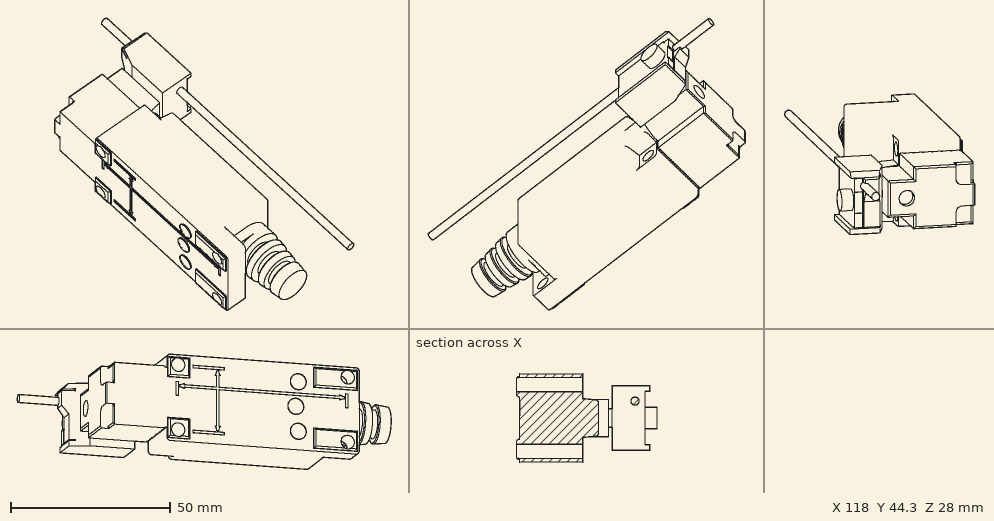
import cadquery as cq


OVERLAP = 0.6

BODY_LENGTH = 54.5
FOOT_LENGTH = 63.4
FOOT_DEPTH = 7.2
BODY_DEPTH = 24.9
BODY_HEIGHT = 28.0
BODY_FILLET = 1.2
REAR_FILLET = 1.1
NOTCH_START = 20.0
NOTCH_LENGTH_LOW = 7.2
NOTCH_LENGTH_HIGH = 8.0
TONGUE_ROOT_Z = 6.1
TONGUE_REAR_Z = 5.7

PAD_HEIGHT = 1.0
PAD_CHAMFER = 0.6
LEFT_PAD = (0.2, 7.4)
RIGHT_PAD = (48.3, 62.7)
HOLE_X = (3.4, 59.2)
HOLE_Z = 10.5
HOLE_DIAMETER = 4.4
PAD_INNER_Z = HOLE_Z - 3.9
PAD_OUTER_Z = HOLE_Z + 2.6
PLUG_DIAMETER = 5.2
PLUG_HEIGHT = 0.4
PLUG_CENTRES = ((43.2, 8.0), (42.4, 0), (43.2, -8.0))
MARK_DEPTH = 0.18
MARK_WIDTH = 0.8
LONG_MARK_Z = 4.0
SHORT_MARK_X = 16.8
END_BAR_LENGTH = 4.5
END_BAR_Z = 3.1
SIDE_BAR = (8.6, 18.9)
ARROW_LENGTH = 1.9
ARROW_WIDTH = 1.7

HEAD_LEFT = -20.0
SEAL_THICKNESS = 0.6
SEAL_INSET = 0.4
HEAD_HEIGHT = 20.1
HEAD_SHOULDER = NOTCH_START - 0.1
HEAD_DEPTH = 28.1
NECK_HEIGHT = 11.8
NECK_SLOPE_RUN = 1.1
NECK_SLOPE_DEPTH = 5.9
HEAD_EDGE_X = 0.2
HEAD_EDGE_SIDE = 0.7
POCKET_DEPTH = 2.5
POCKET_WIDTH = 6.1
POCKET_INNER_Z = 3.4
POCKET_CORNER = 2.0
POCKET_FLOOR_FILLET = 0.7
POCKET_MARGIN = 2.4
HEAD_HOLE_Y = 22.1
HEAD_HOLE_DIAMETER = 5.0
HEAD_HOLE_DEPTH = 2.4

CABLE_Y = 15.3
COLLAR_RADIUS = 7.9
COLLAR_END = 60.4
SADDLE_END = 57.9
NECK_END_RADIUS = 4.6
NECK_RADIUS = 4.0
DISC_CHAMFER = 0.4
DISCS = ((62.8, 65.4, 7.5, 7.3), (67.7, 70.5, 6.8, 6.5), (72.7, 76.8, 6.3, 5.8))

LEVER_TIP = -24.7
LEVER_TOE = -22.5
LEVER_SHOULDER = -22.7
LEVER_RIGHT = -1.5
LEVER_HALF_HEIGHT = 10.1
TIP_TOP_Z = 7.8
TIP_BOTTOM_Z = 3.1
TOE_Z = 0.2
LEVER_FRONT = HEAD_DEPTH + 1.1
LEVER_BACK = LEVER_FRONT + 11.9
LEVER_SLOPE_X = -16.3
LEVER_SLOPE_Y = 32.2
WALL_INNER_Z = 8.4
CLAMP_FRONT = 36.9
CLAMP_BACK = 39.5
SEAM_WIDTH = 0.4
SEAM_DEPTH = 0.6
CLAMP_RECESS_DEPTH = 0.4
UPPER_SLOT_WIDTH = 0.6
LOWER_SLOT_WIDTH = 0.4
SLOT_END = -20.5
SCREW_X = -17.7
SCREW_DIAMETER = 6.8
SCREW_BACK = LEVER_BACK + 2.2
SHAFT_X = -9.1
SHAFT_DIAMETER = 5.9
ROD_START = -37.6
ROD_LENGTH = 118.0
ROD_Y = 36.3
ROD_Z = 5.3
ROD_DIAMETER = 2.6


def block(x_range, y_range, z_range):
    """Box spanning the given (low, high) ranges."""
    size = [high - low for low, high in (x_range, y_range, z_range)]
    corner = (x_range[0], y_range[0], z_range[0])
    return cq.Workplane("XY").box(*size, centered=False).translate(corner)


def rod_along_x(x_start, x_end, y, z, diameter):
    plane = cq.Workplane("YZ", origin=(x_start, y, z))
    return plane.circle(diameter / 2).extrude(x_end - x_start)


def rod_along_y(y_start, y_end, x, z, diameter):
    plane = cq.Workplane("XZ", origin=(x, y_start, z))
    return plane.circle(diameter / 2).extrude(y_start - y_end)


def prism_along_z(points, half_height):
    return cq.Workplane("XY").polyline(points).close().extrude(half_height, both=True)


def make_body():
    outline = [
        (0, 0), (FOOT_LENGTH, 0), (FOOT_LENGTH, FOOT_DEPTH), (BODY_LENGTH, FOOT_DEPTH),
        (BODY_LENGTH, BODY_DEPTH), (0, BODY_DEPTH),
    ]
    body = prism_along_z(outline, BODY_HEIGHT / 2)
    notch_outline = [
        (0, NOTCH_START), (NOTCH_LENGTH_LOW, NOTCH_START),
        (NOTCH_LENGTH_HIGH, BODY_DEPTH), (0, BODY_DEPTH),
    ]
    notch = prism_along_z(notch_outline, BODY_HEIGHT / 2)
    tongue_outline = [
        (NOTCH_START, -TONGUE_ROOT_Z), (BODY_DEPTH, -TONGUE_REAR_Z),
        (BODY_DEPTH, TONGUE_REAR_Z), (NOTCH_START, TONGUE_ROOT_Z),
    ]
    tongue = cq.Workplane("YZ").polyline(tongue_outline).close().extrude(BODY_LENGTH)
    body = body.cut(notch.cut(tongue))
    notch_edges = body.faces("<Z or >Z").edges("not (|X or |Y)").vals()
    rounded = body.edges("|Y").vals() + notch_edges
    body = body.newObject(rounded).fillet(BODY_FILLET)
    return body.faces(">Y").edges().fillet(REAR_FILLET)


def make_pads():
    pads = cq.Workplane("XY")
    for x_range in (LEFT_PAD, RIGHT_PAD):
        pad = block(x_range, (-PAD_HEIGHT, OVERLAP), (PAD_INNER_Z, PAD_OUTER_Z))
        pad = pad.faces("<Y").edges().chamfer(PAD_CHAMFER)
        pads = pads.add(pad).add(pad.mirror("XY"))
    return pads.combine()


def make_plugs():
    plugs = cq.Workplane("XY")
    for x, z in PLUG_CENTRES:
        plugs = plugs.add(rod_along_y(-PLUG_HEIGHT, OVERLAP, x, z, PLUG_DIAMETER))
    return plugs.combine()


def make_holes():
    centres = [(x, z) for x in HOLE_X for z in (HOLE_Z, -HOLE_Z)]
    plane = cq.Workplane("XZ", origin=(0, -PAD_HEIGHT, 0)).pushPoints(centres)
    return plane.circle(HOLE_DIAMETER / 2).extrude(-(BODY_DEPTH + PAD_HEIGHT))


def engraving(x_range, z_range):
    return block(x_range, (0, MARK_DEPTH), z_range)


def arrow_head(tip_x, tip_z, step_x, step_z):
    """Engraved triangle whose tip points along the unit step (step_x, step_z)."""
    base_x = tip_x - ARROW_LENGTH * step_x
    base_z = tip_z - ARROW_LENGTH * step_z
    half = ARROW_WIDTH / 2
    corners = [
        (tip_x, tip_z),
        (base_x + half * step_z, base_z + half * step_x),
        (base_x - half * step_z, base_z - half * step_x),
    ]
    return cq.Workplane("XZ").polyline(corners).close().extrude(-MARK_DEPTH)


def make_marks():
    """Engraved arrows that show the spacing of the mounting holes."""
    half = MARK_WIDTH / 2
    left, right = HOLE_X
    gap = MARK_WIDTH
    marks = [
        engraving((left + gap, right - gap), (LONG_MARK_Z - half, LONG_MARK_Z + half)),
        engraving((SHORT_MARK_X - half, SHORT_MARK_X + half), (gap - HOLE_Z, HOLE_Z - gap)),
        arrow_head(left + half, LONG_MARK_Z, -1, 0),
        arrow_head(right - half, LONG_MARK_Z, 1, 0),
        arrow_head(SHORT_MARK_X, HOLE_Z - half, 0, 1),
        arrow_head(SHORT_MARK_X, half - HOLE_Z, 0, -1),
    ]
    bar_low = END_BAR_Z - END_BAR_LENGTH / 2
    bar_high = END_BAR_Z + END_BAR_LENGTH / 2
    for x in HOLE_X:
        marks.append(engraving((x - half, x + half), (bar_low, bar_high)))
    for z in (HOLE_Z, -HOLE_Z):
        marks.append(engraving(SIDE_BAR, (z - half, z + half)))
    return marks


def head_section(x_start, x_end, inset):
    """Slab of the T-shaped head section, shrunk by the inset except at the mounting face."""
    wide = HEAD_HEIGHT / 2 - inset
    narrow = NECK_HEIGHT / 2 - inset
    shoulder = HEAD_SHOULDER - inset
    top = HEAD_DEPTH - inset
    outline = [
        (0, -wide), (shoulder, -wide), (shoulder, -narrow), (top, -narrow),
        (top, narrow), (shoulder, narrow), (shoulder, wide), (0, wide),
    ]
    plane = cq.Workplane("YZ", origin=(x_start, 0, 0))
    return plane.polyline(outline).close().extrude(x_end - x_start)


def make_corner_pocket():
    """Rounded pocket whose floor has the same bevelled outer edges as the left face."""
    floor = HEAD_LEFT + POCKET_DEPTH
    side = HEAD_HEIGHT / 2
    pocket = block(
        (HEAD_LEFT - POCKET_MARGIN, floor),
        (-POCKET_MARGIN, POCKET_WIDTH),
        (POCKET_INNER_Z, side + POCKET_MARGIN),
    )
    pocket = pocket.edges("|X and >Y and <Z").fillet(POCKET_CORNER)
    pocket = pocket.faces(">X").edges().fillet(POCKET_FLOOR_FILLET)
    front_bevel = [(floor, 0), (floor + HEAD_EDGE_X, 0), (floor, HEAD_EDGE_SIDE)]
    front = cq.Workplane("XY", origin=(0, 0, POCKET_INNER_Z)).polyline(front_bevel).close()
    side_bevel = [(floor, side), (floor + HEAD_EDGE_X, side), (floor, side - HEAD_EDGE_SIDE)]
    flank = cq.Workplane("XZ").polyline(side_bevel).close()
    return pocket.union(front.extrude(side - POCKET_INNER_Z)).union(flank.extrude(-POCKET_WIDTH))


def make_head():
    head_right = -SEAL_THICKNESS
    head = head_section(HEAD_LEFT, head_right, 0)
    rim = head.faces("<X").edges().vals()
    head = head.newObject([head.val().chamfer(HEAD_EDGE_X, HEAD_EDGE_SIDE, rim)])
    slope = [
        (head_right - NECK_SLOPE_RUN, HEAD_DEPTH), (head_right, HEAD_DEPTH),
        (head_right, HEAD_DEPTH - NECK_SLOPE_DEPTH),
    ]
    head = head.cut(prism_along_z(slope, NECK_HEIGHT / 2))
    pocket = make_corner_pocket()
    head = head.cut(pocket).cut(pocket.mirror("XY"))
    hole_end = HEAD_LEFT + HEAD_HOLE_DEPTH
    head = head.cut(rod_along_x(HEAD_LEFT, hole_end, HEAD_HOLE_Y, 0, HEAD_HOLE_DIAMETER))
    seal = head_section(head_right - OVERLAP, 0, SEAL_INSET)
    seal = seal.intersect(block((HEAD_LEFT, 0), (0, HEAD_SHOULDER), (-HEAD_HEIGHT, HEAD_HEIGHT)))
    return head.union(seal)


def make_cable_outlet():
    """Collar on its saddle, followed by the ribbed grommet."""
    profile = cq.Workplane("XY").moveTo(BODY_LENGTH - OVERLAP, 0)
    profile = profile.lineTo(BODY_LENGTH - OVERLAP, COLLAR_RADIUS).lineTo(COLLAR_END, COLLAR_RADIUS)
    neck_start = COLLAR_END
    for start, end, start_radius, end_radius in DISCS:
        middle = (neck_start + start) / 2
        profile = profile.lineTo(neck_start, NECK_END_RADIUS)
        profile = profile.threePointArc((middle, NECK_RADIUS), (start, NECK_END_RADIUS))
        profile = profile.lineTo(start, start_radius - DISC_CHAMFER)
        profile = profile.lineTo(start + DISC_CHAMFER, start_radius).lineTo(end, end_radius)
        neck_start = end
    turned = profile.lineTo(neck_start, 0).close().revolve(360, (0, 0, 0), (1, 0, 0))
    saddle = block(
        (BODY_LENGTH - OVERLAP, SADDLE_END),
        (FOOT_DEPTH - OVERLAP, CABLE_Y),
        (-COLLAR_RADIUS, COLLAR_RADIUS),
    )
    return turned.translate((0, CABLE_Y, 0)).union(saddle)


def make_lever_block():
    outline = [
        (LEVER_TIP, TIP_BOTTOM_Z), (LEVER_TIP, TIP_TOP_Z),
        (LEVER_SHOULDER, LEVER_HALF_HEIGHT), (LEVER_RIGHT, LEVER_HALF_HEIGHT),
        (LEVER_RIGHT, -LEVER_HALF_HEIGHT),
        (LEVER_TOE, -LEVER_HALF_HEIGHT), (LEVER_TOE, TOE_Z),
    ]
    plane = cq.Workplane("XZ", origin=(0, LEVER_FRONT, 0))
    lever = plane.polyline(outline).close().extrude(LEVER_FRONT - LEVER_BACK)
    slope = [(LEVER_TIP, LEVER_FRONT), (LEVER_SLOPE_X, LEVER_FRONT), (LEVER_TIP, LEVER_SLOPE_Y)]
    lever = lever.cut(prism_along_z(slope, LEVER_HALF_HEIGHT))
    span = (-WALL_INNER_Z, WALL_INNER_Z)
    lever = lever.cut(block((LEVER_TIP, LEVER_RIGHT), (CLAMP_BACK, LEVER_BACK), span))
    lever = lever.cut(block((LEVER_TIP, LEVER_TOE), (CLAMP_FRONT, LEVER_BACK), span))
    seam = (CLAMP_FRONT - SEAM_WIDTH, CLAMP_FRONT)
    lever = lever.cut(block((LEVER_TIP, LEVER_TOE + SEAM_DEPTH), seam, span))
    recess_end = LEVER_TOE + CLAMP_RECESS_DEPTH
    half_recess = SCREW_DIAMETER / 2
    lever = lever.cut(
        block((LEVER_TIP, recess_end), (CLAMP_FRONT, CLAMP_BACK), (-half_recess, half_recess))
    )
    slot_x = (LEVER_TIP, SLOT_END)
    slot_y = (LEVER_FRONT, CLAMP_BACK)
    lever = lever.cut(block(slot_x, slot_y, (WALL_INNER_Z - UPPER_SLOT_WIDTH, WALL_INNER_Z)))
    return lever.cut(block(slot_x, slot_y, (-WALL_INNER_Z, LOWER_SLOT_WIDTH - WALL_INNER_Z)))


def make_lever():
    screw = rod_along_y(CLAMP_FRONT, SCREW_BACK, SCREW_X, 0, SCREW_DIAMETER)
    shaft = rod_along_y(HEAD_DEPTH - OVERLAP, LEVER_FRONT + OVERLAP, SHAFT_X, 0, SHAFT_DIAMETER)
    rod = rod_along_x(ROD_START, ROD_START + ROD_LENGTH, ROD_Y, ROD_Z, ROD_DIAMETER)
    return make_lever_block().union(screw).union(shaft).union(rod)


housing = make_body().union(make_pads()).union(make_plugs())
for mark in make_marks():
    housing = housing.cut(mark)
housing = housing.union(make_cable_outlet()).cut(make_holes())
result = housing.union(make_head()).union(make_lever())